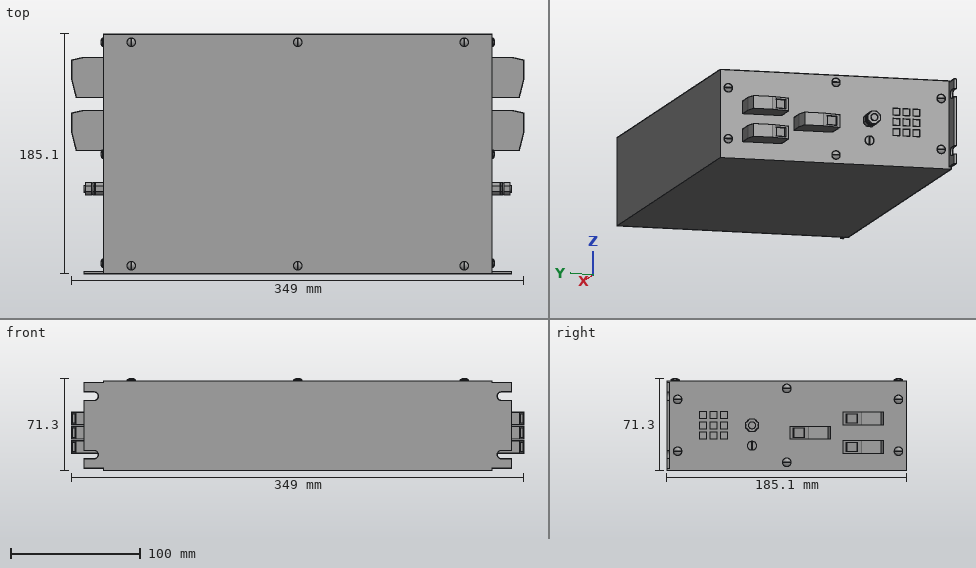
import cadquery as cq
import math

BOX_WIDTH = 300.0
BOX_DEPTH = 185.05
BOX_HEIGHT = 69.27
SIDE_X = BOX_WIDTH / 2
FITTINGS_Z = 35.0

PANEL_WIDTH = 330.0
PANEL_HEIGHT = 66.5
PANEL_THICKNESS = 2.0
SLOT_WIDTH = 6.5
SLOT_LENGTH = 11.0
SLOT_PITCH_Z = 45.0

SCREW_DIAMETER = 6.6
SCREW_HEIGHT = 2.0
SCREW_RIM_HEIGHT = 0.7
SCREW_SLOT_WIDTH = 0.4
SCREW_SLOT_DEPTH = 1.0
SCREW_INSET_Y = 6.3
LID_SCREW_PITCH_X = 128.5
SIDE_SCREW_FRONT_Y = PANEL_THICKNESS + SCREW_INSET_Y
SIDE_SCREW_REAR_Y = BOX_DEPTH - SCREW_INSET_Y
SIDE_SCREW_CORNER_Z = 20.0
SIDE_SCREW_MIDDLE_Z = 28.5

PLUG_REACH = 24.5
PLUG_LENGTH = 31.0
PLUG_HEIGHT = 10.0
PLUG_PITCH_Z = 11.0
PLUG_CENTRE_Z = 29.3
REAR_PLUG_Y = 151.6
FRONT_PLUG_Y = 110.7
PLUG_REAR_SLOPE_X = 8.8
PLUG_REAR_SLOPE_Y = 2.0
PLUG_FRONT_SLOPE_X = 3.5
PLUG_FRONT_SLOPE_Y = 14.0
BUTTON_POCKET_HEIGHT = 7.0
BUTTON_POCKET_LENGTH = 8.6
BUTTON_POCKET_DEPTH = 2.0
BUTTON_POCKET_Y = 6.5

CONNECTOR_Y = 65.7
CONNECTOR_Z = FITTINGS_Z
CONNECTOR_SIDES = 8
CONNECTOR_ACROSS_FLATS = 9.8
CONNECTOR_LENGTH = 14.0
GROOVE_DIAMETER = 9.0
GROOVE_WIDTH = 1.0
GROOVE_STARTS = (6.0, 8.2)
TIP_DIAMETER = 5.4
TIP_LENGTH = 1.1

ADJUSTER_Z = 19.3
ADJUSTER_DIAMETER = 7.0
ADJUSTER_HEIGHT = 1.0
ADJUSTER_SLOT_WIDTH = 0.6

VENT_Y = 35.9
VENT_PITCH = 8.0
VENT_SIZE = 5.4
VENT_DEPTH = 1.5
VENT_COUNT = 3


def block(x, y, z):
    """Box given by its (low, high) limits along each axis."""
    size = [high - low for low, high in (x, y, z)]
    return cq.Workplane("XY").box(*size, centered=False).translate((x[0], y[0], z[0]))


def side_plane(distance, y, z):
    """Plane `distance` out from the left wall, facing outward."""
    return cq.Plane(origin=(-SIDE_X - distance, y, z), xDir=(0, 1, 0), normal=(-1, 0, 0))


def disc(diameter, start, length, y, z):
    """Cylinder along -X whose near end is `start` out from the left wall."""
    return cq.Workplane(side_plane(start, y, z)).circle(diameter / 2).extrude(length)


def rack_panel():
    panel = block(
        (-PANEL_WIDTH / 2, PANEL_WIDTH / 2),
        (0, PANEL_THICKNESS),
        (FITTINGS_Z - PANEL_HEIGHT / 2, FITTINGS_Z + PANEL_HEIGHT / 2),
    )
    slots = (
        cq.Workplane("XZ")
        .center(0, FITTINGS_Z)
        .rarray(PANEL_WIDTH, SLOT_PITCH_Z, 2, 2)
        .slot2D(2 * SLOT_LENGTH, SLOT_WIDTH)
        .extrude(-PANEL_THICKNESS)
    )
    return panel.cut(slots)


def screw_head():
    """Domed head on Z = 0 with its driver slot along Y."""
    radius = SCREW_DIAMETER / 2
    dome_rise = SCREW_HEIGHT - SCREW_RIM_HEIGHT
    dome_radius = (radius**2 + dome_rise**2) / (2 * dome_rise)
    half_angle = math.asin(radius / dome_radius) / 2
    dome_middle = (
        dome_radius * math.sin(half_angle),
        SCREW_HEIGHT - dome_radius * (1 - math.cos(half_angle)),
    )
    head = (
        cq.Workplane("XZ")
        .lineTo(radius, 0)
        .lineTo(radius, SCREW_RIM_HEIGHT)
        .threePointArc(dome_middle, (0, SCREW_HEIGHT))
        .close()
        .revolve(360, (0, 0, 0), (0, 1, 0))
    )
    slot = block(
        (-SCREW_SLOT_WIDTH / 2, SCREW_SLOT_WIDTH / 2),
        (-radius, radius),
        (SCREW_HEIGHT - SCREW_SLOT_DEPTH, SCREW_HEIGHT),
    )
    return head.cut(slot)


def lid_screws():
    places = [
        (x, y, BOX_HEIGHT)
        for x in (-LID_SCREW_PITCH_X, 0, LID_SCREW_PITCH_X)
        for y in (SCREW_INSET_Y, BOX_DEPTH - SCREW_INSET_Y)
    ]
    return [screw_head().translate(place) for place in places]


def side_screws():
    head = screw_head().rotate((0, 0, 0), (0, 1, 0), -90)
    middle_y = BOX_DEPTH / 2
    places = [
        (y, FITTINGS_Z + side * offset)
        for y, offset in (
            (SIDE_SCREW_FRONT_Y, SIDE_SCREW_CORNER_Z),
            (middle_y, SIDE_SCREW_MIDDLE_Z),
            (SIDE_SCREW_REAR_Y, SIDE_SCREW_CORNER_Z),
        )
        for side in (-1, 1)
    ]
    return [head.translate((-SIDE_X, y, z)) for y, z in places]


def plug():
    """Plug on the left wall, centred on Y = 0 and Z = 0, with a button pocket in its front slope."""
    tip = -SIDE_X - PLUG_REACH
    rear = PLUG_LENGTH / 2
    front = -rear
    body = (
        cq.Workplane("XY")
        .workplane(offset=-PLUG_HEIGHT / 2)
        .moveTo(-SIDE_X, front)
        .lineTo(-SIDE_X, rear)
        .lineTo(tip + PLUG_REAR_SLOPE_X, rear)
        .lineTo(tip, rear - PLUG_REAR_SLOPE_Y)
        .lineTo(tip, front + PLUG_FRONT_SLOPE_Y)
        .lineTo(tip + PLUG_FRONT_SLOPE_X, front)
        .close()
        .extrude(PLUG_HEIGHT)
    )

    below_slope_top = PLUG_FRONT_SLOPE_Y - BUTTON_POCKET_Y
    pocket_x = tip + PLUG_FRONT_SLOPE_X * below_slope_top / PLUG_FRONT_SLOPE_Y
    plane = cq.Plane(
        origin=(pocket_x, front + BUTTON_POCKET_Y, 0),
        xDir=(0, 0, 1),
        normal=(PLUG_FRONT_SLOPE_Y, PLUG_FRONT_SLOPE_X, 0),
    )
    pocket = (
        cq.Workplane(plane)
        .rect(BUTTON_POCKET_HEIGHT, BUTTON_POCKET_LENGTH)
        .extrude(BUTTON_POCKET_DEPTH)
    )
    return body.cut(pocket)


def plugs():
    places = (
        (REAR_PLUG_Y, PLUG_CENTRE_Z + PLUG_PITCH_Z),
        (REAR_PLUG_Y, PLUG_CENTRE_Z - PLUG_PITCH_Z),
        (FRONT_PLUG_Y, PLUG_CENTRE_Z),
    )
    return [plug().translate((0, y, z)) for y, z in places]


def connector():
    """Octagonal barrel with two narrow grooves and a round tip."""
    plane = side_plane(0, CONNECTOR_Y, CONNECTOR_Z)
    barrel = (
        cq.Workplane(plane)
        .polygon(CONNECTOR_SIDES, CONNECTOR_ACROSS_FLATS, circumscribed=True)
        .extrude(CONNECTOR_LENGTH)
    )
    core = disc(GROOVE_DIAMETER, 0, CONNECTOR_LENGTH, CONNECTOR_Y, CONNECTOR_Z)
    for start in GROOVE_STARTS:
        barrel = barrel.cut(disc(2 * CONNECTOR_ACROSS_FLATS, start, GROOVE_WIDTH, CONNECTOR_Y, CONNECTOR_Z))
    tip = disc(TIP_DIAMETER, CONNECTOR_LENGTH, TIP_LENGTH, CONNECTOR_Y, CONNECTOR_Z)
    return core.union(barrel).union(tip)


def adjuster():
    """Flat disc with an upright slot across its full face."""
    body = disc(ADJUSTER_DIAMETER, 0, ADJUSTER_HEIGHT, CONNECTOR_Y, ADJUSTER_Z)
    slot = block(
        (-SIDE_X - ADJUSTER_HEIGHT, -SIDE_X),
        (CONNECTOR_Y - ADJUSTER_SLOT_WIDTH / 2, CONNECTOR_Y + ADJUSTER_SLOT_WIDTH / 2),
        (ADJUSTER_Z - ADJUSTER_DIAMETER / 2, ADJUSTER_Z + ADJUSTER_DIAMETER / 2),
    )
    return body.cut(slot)


def vent_grid():
    plane = side_plane(0, VENT_Y, FITTINGS_Z)
    return (
        cq.Workplane(plane)
        .rarray(VENT_PITCH, VENT_PITCH, VENT_COUNT, VENT_COUNT)
        .rect(VENT_SIZE, VENT_SIZE)
        .extrude(-VENT_DEPTH)
    )


result = block((-SIDE_X, SIDE_X), (0, BOX_DEPTH), (0, BOX_HEIGHT)).union(rack_panel())
for screw in lid_screws():
    result = result.union(screw)
for fitting in side_screws() + plugs() + [connector(), adjuster()]:
    result = result.union(fitting).union(fitting.mirror("YZ"))
result = result.cut(vent_grid()).cut(vent_grid().mirror("YZ"))